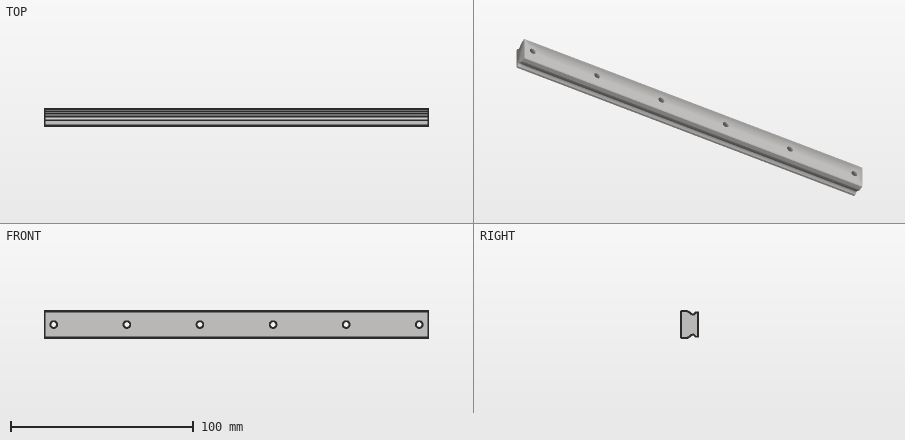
import cadquery as cq

length = 210.0
thickness = 9.5
width = 15.0
half_width = width / 2

base_chamfer = 0.5
base_depth = 3.2
head_half_width = 6.7
head_inner_y = 8.2
groove_bottom_y = 7.0
groove_half_width = 5.5
lower_flank_end = (5.5, 5.9)
step_end = (5.0, 6.5)
shoulder_start = (4.5, 7.0)

hole_diameter = 3.5
hole_count = 6
end_margin = 5.0
hole_pitch = (length - 2 * end_margin) / (hole_count - 1)


def rail_body():
    """Extrude the symmetric grooved profile along the rail."""
    upper_side = [
        (0, half_width - base_chamfer),
        (base_chamfer, half_width),
        (base_depth, half_width),
        shoulder_start,
        step_end,
        lower_flank_end,
        (groove_bottom_y, groove_half_width),
        (head_inner_y, head_half_width),
        (thickness, head_half_width),
    ]
    lower_side = [(y, -z) for y, z in reversed(upper_side)]
    return cq.Workplane("YZ").polyline(upper_side + lower_side).close().extrude(length)


def mounting_holes():
    """Row of evenly spaced cylinders through the rail thickness."""
    centres = [(end_margin + i * hole_pitch, 0) for i in range(hole_count)]
    return (
        cq.Workplane("XZ")
        .pushPoints(centres)
        .circle(hole_diameter / 2)
        .extrude(-thickness)
    )


result = rail_body().cut(mounting_holes())